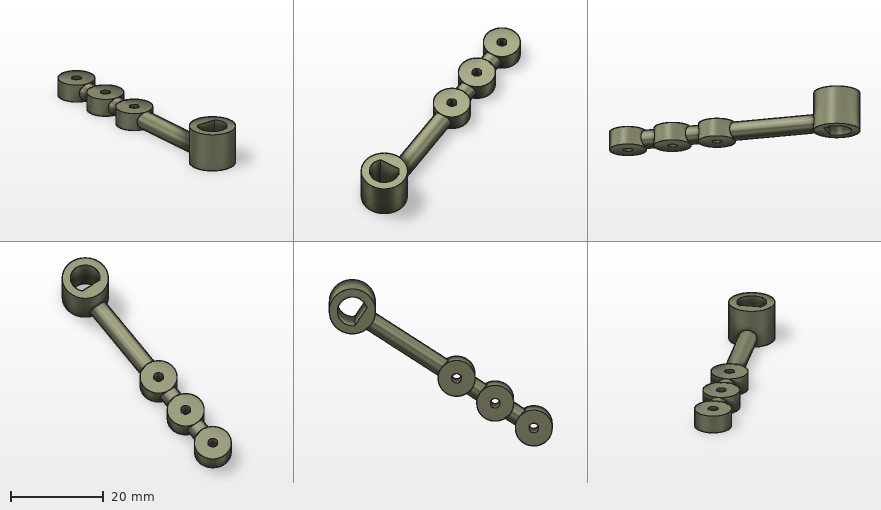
import cadquery as cq

hub_diameter = 10.0
hub_height = 8.5
bore_diameter = 6.4
bore_flat_offset = 2.2

disc_diameter = 8.0
disc_height = 4.0
pin_hole_diameter = 2.11
disc_count = 3
disc_pitch = 10.0
nearest_disc_distance = 27.0

rod_diameter = disc_height

disc_centers = [(-nearest_disc_distance - i * disc_pitch, 0) for i in range(disc_count)]
farthest_disc_x = disc_centers[-1][0]


def make_hub():
    return cq.Workplane("XY").circle(hub_diameter / 2).extrude(hub_height)


def make_discs():
    return cq.Workplane("XY").pushPoints(disc_centers).circle(disc_diameter / 2).extrude(disc_height)


def make_rod():
    """Rod from the farthest disc axis to the hub axis, resting on the base plane."""
    return (
        cq.Workplane("YZ", origin=(farthest_disc_x, 0, rod_diameter / 2))
        .circle(rod_diameter / 2)
        .extrude(-farthest_disc_x)
    )


def make_bore():
    """D-shaped through bore with its flat facing the arm."""
    round_bore = cq.Workplane("XY").circle(bore_diameter / 2).extrude(hub_height)
    kept_side = (
        cq.Workplane("XY", origin=(-bore_flat_offset, 0, 0))
        .rect(bore_diameter, bore_diameter, centered=(False, True))
        .extrude(hub_height)
    )
    return round_bore.intersect(kept_side)


def make_pin_holes():
    return cq.Workplane("XY").pushPoints(disc_centers).circle(pin_hole_diameter / 2).extrude(disc_height)


body = make_hub().union(make_discs()).union(make_rod())
result = body.cut(make_bore()).cut(make_pin_holes())